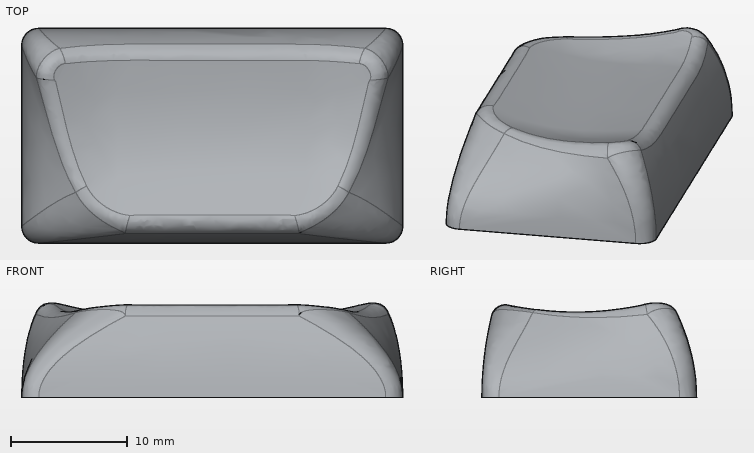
import cadquery as cq
import math

LENGTH = 32.63
WIDTH = 18.4

BLANK_HEIGHT = 9.8
SECTION_COUNT = 6
FOOT_CORNER_RADIUS = 1.47
FOOT_CLEARANCE = 3.25
POINT_TOLERANCE = 0.0003
FRONT_RADIUS_GAIN = 6.53
BACK_RADIUS_GAIN = 0.98
FRONT_INSET = 1.63
BACK_INSET = 3.1
FRONT_CORNER_INSET = 10.45
BACK_CORNER_INSET = 0.8
WALL_POWER = 2.0

DISH_LOW_Y = 0.5
DISH_LOW_Z = 6.65
FRONT_EDGE_Y = -6.5
FRONT_EDGE_Z = 7.8
BACK_EDGE_Y = 6.2
BACK_EDGE_Z = 7.18
STRAIGHT_HALF_LENGTH = 7.15
END_POINT_X = 14.03
END_RISE = 1.17
DISH_MARGIN = 1.63
DISH_STEPS = 24
SURFACE_TOLERANCE = 0.02
RIM_RADIUS = 1.25


def body_section(fraction):
    """Rounded trapezoid at a fraction of the blank height."""
    lean = fraction ** WALL_POWER
    front_y = -WIDTH / 2 + FRONT_INSET * lean
    back_y = WIDTH / 2 - BACK_INSET * lean
    front_x = LENGTH / 2 - FRONT_CORNER_INSET * lean
    back_x = LENGTH / 2 - BACK_CORNER_INSET * lean
    front_radius = FOOT_CORNER_RADIUS + FRONT_RADIUS_GAIN * lean
    back_radius = FOOT_CORNER_RADIUS + BACK_RADIUS_GAIN * lean
    z = fraction * BLANK_HEIGHT
    corners = [(-front_x, front_y), (front_x, front_y), (back_x, back_y), (-back_x, back_y)]
    outline = cq.Wire.makePolygon([cq.Vector(x, y, z) for x, y in corners], close=True)
    front_corners = [v for v in outline.Vertices() if v.Y < 0]
    outline = outline.fillet2D(front_radius, front_corners)
    back_corners = [v for v in outline.Vertices() if math.isclose(v.Y, back_y, abs_tol=POINT_TOLERANCE)]
    return outline.fillet2D(back_radius, back_corners)


def dish_height(x, y):
    """Height of the dished top: two half parabolas in Y, raised beyond the straight middle."""
    if y < DISH_LOW_Y:
        edge_y, edge_z = FRONT_EDGE_Y, FRONT_EDGE_Z
    else:
        edge_y, edge_z = BACK_EDGE_Y, BACK_EDGE_Z
    trough = (edge_z - DISH_LOW_Z) * ((y - DISH_LOW_Y) / (edge_y - DISH_LOW_Y)) ** 2
    beyond = max(abs(x) - STRAIGHT_HALF_LENGTH, 0)
    sweep = END_RISE * (beyond / (END_POINT_X - STRAIGHT_HALF_LENGTH)) ** 2
    return DISH_LOW_Z + trough + sweep


def dish_tool():
    """Everything above the dished surface."""
    half_x = LENGTH / 2 + DISH_MARGIN
    half_y = WIDTH / 2 + DISH_MARGIN
    steps = [2 * i / DISH_STEPS - 1 for i in range(DISH_STEPS + 1)]
    grid = [
        [cq.Vector(u * half_x, v * half_y, dish_height(u * half_x, v * half_y)) for v in steps]
        for u in steps
    ]
    surface = cq.Face.makeSplineApprox(grid, tol=SURFACE_TOLERANCE, minDeg=3, maxDeg=5)
    return cq.Solid.extrudeLinear(surface, cq.Vector(0, 0, BLANK_HEIGHT))


sections = [body_section(i / (SECTION_COUNT - 1)) for i in range(SECTION_COUNT)]
blank = cq.Workplane(obj=cq.Solid.makeLoft(sections))
dished = blank.cut(cq.Workplane(obj=dish_tool()))

rim = [e for e in dished.edges().vals() if e.BoundingBox().zmin > FOOT_CLEARANCE]
result = dished.newObject(rim).fillet(RIM_RADIUS)